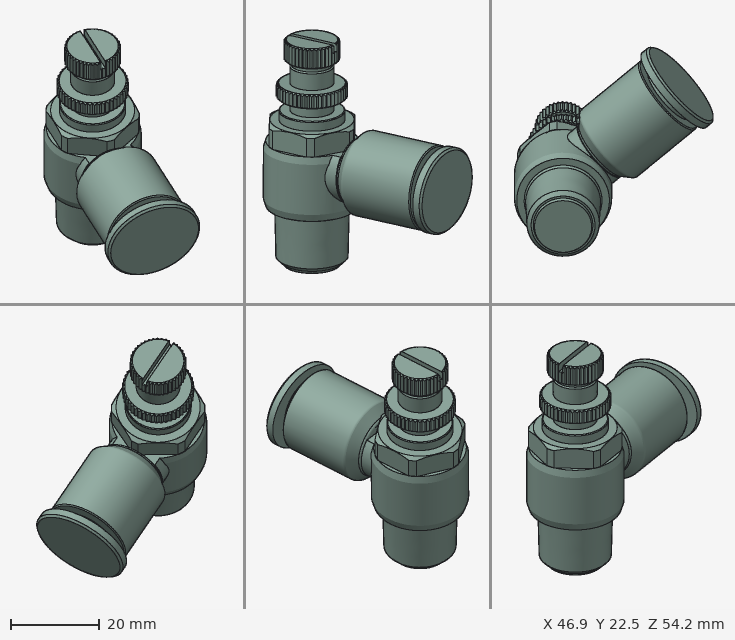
import math
import cadquery as cq

total_height = 54.2
nose_height = 0.8
thread_bottom = 1.8
thread_top = 13.4
body_bottom = 14.15
body_top = 29.75
hex_top = 34.85
collar_top = 37.2
nut_bottom = 40.25
nut_top = 43.75
stem_top = 48.1
knob_bottom = 49.25

nose_tip_radius = 6.45
nose_radius = 6.7
thread_bottom_radius = 8.2
thread_end_chamfer = thread_bottom - nose_height
thread_top_radius = 8.45
shoulder_radius = 8.8

body_radius = 11.0
body_bevel_radial = 0.55
body_bevel_height = 1.75

hex_across_flats = 19.15
hex_corner_radius = 10.55
hex_bevel_radius = 9.5
hex_bevel_height = 0.6

collar_radius = 7.5
collar_chamfer = 0.2
stem_radius = 5.0
stem_chamfer = 0.3
knob_neck_radius = stem_radius - stem_chamfer
nut_radius = 8.1
nut_teeth = 46
knob_radius = 6.35
knob_teeth = 40
knurl_depth = 0.5
knurl_chamfer_radial = 0.55
knurl_chamfer_height = 0.45
slot_width = 1.15
slot_depth = 1.95

port_height = 24.7
port_start = body_radius
neck_radius = 7.5
barrel_radius = 9.85
barrel_end = 32.05
barrel_edge_chamfer = 0.25
cone_start_radius = 7.1
cone_start_x = 11.65
cone_start_rim_radius = 7.65
cone_end_x = 13.75
cone_end_radius = 9.7
barrel_start_x = 14.35
cone_start_bulge = 0.1
cone_end_bulge = 0.045
sleeve_radius = 7.1
sleeve_end = 33.7
flange_end = 35.9
flange_width = 22.5
flange_height = 19.75
flange_chamfer = 0.5


def turned(points):
    """Solid of revolution about Z from (radius, height) points."""
    outline = [(0, points[0][1])] + points + [(0, points[-1][1])]
    return cq.Workplane("XZ").polyline(outline).close().revolve(360, (0, 0), (0, 1))


def threaded_end_and_body():
    bevel_radius = body_radius - body_bevel_radial
    return turned([
        (nose_tip_radius, 0),
        (nose_radius, nose_height),
        (thread_bottom_radius - thread_end_chamfer, nose_height),
        (thread_bottom_radius, thread_bottom),
        (thread_top_radius, thread_top),
        (shoulder_radius, body_bottom),
        (bevel_radius, body_bottom),
        (body_radius, body_bottom + body_bevel_height),
        (body_radius, body_top - body_bevel_height),
        (bevel_radius, body_top),
    ])


def hexagon():
    across_corners = hex_across_flats / math.cos(math.pi / 6)
    prism = (
        cq.Workplane("XY").workplane(offset=body_top)
        .polygon(6, across_corners).extrude(hex_top - body_top)
    )
    turned_blank = turned([
        (hex_corner_radius, body_top),
        (hex_corner_radius, hex_top - hex_bevel_height),
        (hex_bevel_radius, hex_top),
    ])
    return prism.intersect(turned_blank)


def collar_and_stem():
    return turned([
        (collar_radius, hex_top),
        (collar_radius, collar_top - collar_chamfer),
        (collar_radius - collar_chamfer, collar_top),
        (stem_radius, collar_top),
        (stem_radius, stem_top - stem_chamfer),
        (knob_neck_radius, stem_top),
        (knob_neck_radius, knob_bottom),
    ])


def knurled_disc(radius, teeth, bottom, top):
    """Disc with V-shaped teeth on its rim and both rim edges bevelled."""
    pitch = math.pi / teeth
    outline = []
    for step in range(2 * teeth):
        reach = radius if step % 2 else radius - knurl_depth
        outline.append((reach * math.cos(step * pitch), reach * math.sin(step * pitch)))
    toothed = (
        cq.Workplane("XY").workplane(offset=bottom)
        .polyline(outline).close().extrude(top - bottom)
    )
    bevelled_blank = turned([
        (radius - knurl_chamfer_radial, bottom),
        (radius, bottom + knurl_chamfer_height),
        (radius, top - knurl_chamfer_height),
        (radius - knurl_chamfer_radial, top),
    ])
    return toothed.intersect(bevelled_blank)


def screwdriver_slot():
    return (
        cq.Workplane("XY").workplane(offset=total_height - slot_depth)
        .rect(2 * knob_radius + slot_width, slot_width).extrude(slot_depth)
    )


def port_neck():
    """Round neck joining body and barrel, cut flat level with the body top."""
    neck = (
        cq.Workplane("YZ").center(0, port_height)
        .circle(neck_radius).extrude(port_start)
    )
    below_body_top = (
        cq.Workplane("XY").workplane(offset=body_bottom)
        .rect(4 * body_radius, 4 * body_radius).extrude(body_top - body_bottom)
    )
    return neck.intersect(below_body_top)


def rounding_middle(start, end, bulge):
    """Point beside the middle of a chord, moved back in X and out in radius."""
    return ((start[0] + end[0]) / 2 - bulge, (start[1] + end[1]) / 2 + bulge)


def port_barrel():
    face_edge = (port_start, cone_start_radius)
    cone_start = (cone_start_x, cone_start_rim_radius)
    cone_end = (cone_end_x, cone_end_radius)
    barrel_start = (barrel_start_x, barrel_radius)
    profile = (
        cq.Workplane("XZ", origin=(0, 0, port_height))
        .moveTo(port_start, 0)
        .lineTo(*face_edge)
        .threePointArc(rounding_middle(face_edge, cone_start, cone_start_bulge), cone_start)
        .lineTo(*cone_end)
        .threePointArc(rounding_middle(cone_end, barrel_start, cone_end_bulge), barrel_start)
        .lineTo(barrel_end - barrel_edge_chamfer, barrel_radius)
        .lineTo(barrel_end, barrel_radius - barrel_edge_chamfer)
        .lineTo(barrel_end, sleeve_radius)
        .lineTo(sleeve_end, sleeve_radius)
        .lineTo(sleeve_end, 0)
        .close()
    )
    return profile.revolve(360, (0, 0), (1, 0))


def release_flange():
    """Oval push-in release ring with its outer edge bevelled."""
    return (
        cq.Workplane("YZ", origin=(sleeve_end, 0, port_height))
        .ellipse(flange_width / 2, flange_height / 2)
        .extrude(flange_end - sleeve_end)
        .faces(">X").edges().chamfer(flange_chamfer)
    )


result = (
    threaded_end_and_body()
    .union(hexagon())
    .union(collar_and_stem())
    .union(knurled_disc(nut_radius, nut_teeth, nut_bottom, nut_top))
    .union(knurled_disc(knob_radius, knob_teeth, knob_bottom, total_height))
    .union(port_neck())
    .union(port_barrel())
    .union(release_flange())
    .cut(screwdriver_slot())
)